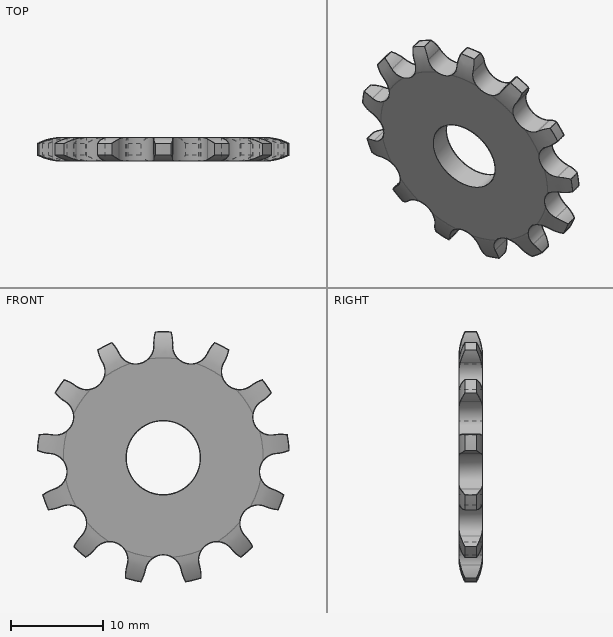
import cadquery as cq
import math

tooth_count = 13
tip_radius = 13.65
root_radius = 10.52
bore_diameter = 8.0
thickness = 2.6
tip_thickness = 1.25
flat_face_radius = 10.82
seat_radius = 1.95
tip_width = 1.72
flank_start_tilt = 2.7
gap_clearance = 1.35

half_pitch_angle = math.pi / tooth_count
half_thickness = thickness / 2


def make_blank():
    """Disc about the Y axis whose rim narrows along arcs tangent to the flat faces."""
    rim_length = tip_radius - flat_face_radius
    rim_drop = (thickness - tip_thickness) / 2
    arc_radius = (rim_length**2 + rim_drop**2) / (2 * rim_drop)
    half_sweep = math.asin(rim_length / arc_radius) / 2
    mid_radius = flat_face_radius + arc_radius * math.sin(half_sweep)
    mid_height = half_thickness - arc_radius * (1 - math.cos(half_sweep))
    profile = (
        cq.Workplane("XY")
        .moveTo(bore_diameter / 2, -half_thickness)
        .lineTo(flat_face_radius, -half_thickness)
        .threePointArc((mid_radius, -mid_height), (tip_radius, -tip_thickness / 2))
        .lineTo(tip_radius, tip_thickness / 2)
        .threePointArc((mid_radius, mid_height), (flat_face_radius, half_thickness))
        .lineTo(bore_diameter / 2, half_thickness)
        .close()
    )
    return profile.revolve(360, (0, 0), (0, 1)).rotate((0, 0, 0), (0, 1, 0), -90)


def make_gap():
    """Cutter for one tooth gap, centred on +Z: round seat, then convex flanks."""
    seat_center = root_radius + seat_radius
    start_angle = half_pitch_angle - math.radians(flank_start_tilt)
    start_x = seat_radius * math.cos(start_angle)
    start_z = seat_center - seat_radius * math.sin(start_angle)
    flank_direction = (math.sin(start_angle), math.cos(start_angle))
    tip_angle = half_pitch_angle - math.asin(tip_width / 2 / tip_radius)
    tip_x = tip_radius * math.sin(tip_angle)
    tip_z = tip_radius * math.cos(tip_angle)

    chord_x = tip_x - start_x
    chord_z = tip_z - start_z
    chord = math.hypot(chord_x, chord_z)
    chord_angle = math.atan2(chord_x, chord_z)
    bend = chord_angle - math.atan2(*flank_direction)
    bulge = chord / 2 * math.tan(bend / 2)
    mid_x = (start_x + tip_x) / 2 - bulge * chord_z / chord
    mid_z = (start_z + tip_z) / 2 + bulge * chord_x / chord

    outer_z = tip_radius + gap_clearance
    return (
        cq.Workplane("XZ")
        .moveTo(-tip_x, tip_z)
        .threePointArc((-mid_x, mid_z), (-start_x, start_z))
        .threePointArc((0, root_radius), (start_x, start_z))
        .threePointArc((mid_x, mid_z), (tip_x, tip_z))
        .lineTo(tip_x, outer_z)
        .lineTo(-tip_x, outer_z)
        .close()
        .extrude(half_thickness, both=True)
    )


result = make_blank()
gap = make_gap()
for index in range(tooth_count):
    gap_angle = math.degrees((2 * index + 1) * half_pitch_angle)
    result = result.cut(gap.rotate((0, 0, 0), (0, 1, 0), gap_angle))